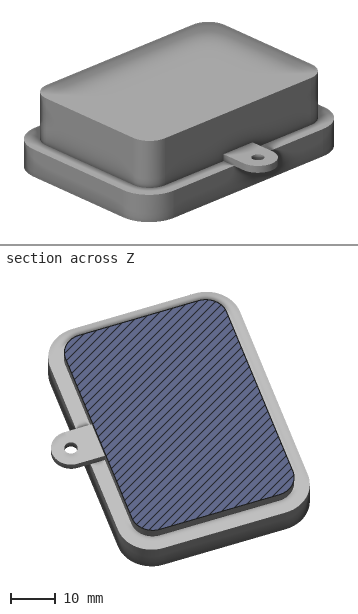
import cadquery as cq

flange_length_x = 45.2
flange_length_y = 62.4
flange_height = 6.8
flange_corner_radius = 8.0

block_length_x = 38.4
block_length_y = 55.4
block_corner_radius = 5.0
total_height = 18.5
block_height = total_height - flange_height

overall_length_x = 52.8
tab_width = 9.0
tab_thickness = 1.7
tab_hole_diameter = 3.0
tab_end_radius = tab_width / 2
tab_root_overlap = 3.0
tab_hole_x = overall_length_x - flange_length_x / 2 - tab_end_radius


def rounded_block(length_x, length_y, height, corner_radius, bottom_z):
    """Upright block centred on the Z axis with rounded vertical edges."""
    block = cq.Workplane("XY").workplane(offset=bottom_z).rect(length_x, length_y).extrude(height)
    return block.edges("|Z").fillet(corner_radius)


def lanyard_tab():
    """Round-ended tab with a through hole; its root lies inside the raised block."""
    root_x = block_length_x / 2 - tab_root_overlap
    tab = (
        cq.Workplane("XY")
        .workplane(offset=flange_height)
        .moveTo(root_x, -tab_end_radius)
        .lineTo(tab_hole_x, -tab_end_radius)
        .threePointArc((tab_hole_x + tab_end_radius, 0), (tab_hole_x, tab_end_radius))
        .lineTo(root_x, tab_end_radius)
        .close()
        .extrude(tab_thickness)
    )
    hole = (
        cq.Workplane("XY")
        .workplane(offset=flange_height)
        .center(tab_hole_x, 0)
        .circle(tab_hole_diameter / 2)
        .extrude(tab_thickness)
    )
    return tab.cut(hole)


flange = rounded_block(flange_length_x, flange_length_y, flange_height, flange_corner_radius, 0)
block = rounded_block(block_length_x, block_length_y, block_height, block_corner_radius, flange_height)
result = flange.union(block).union(lanyard_tab())